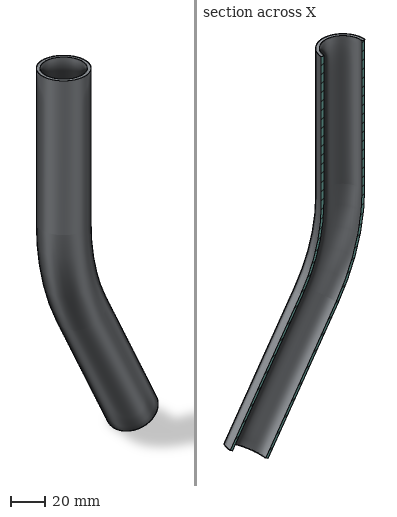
import cadquery as cq
import math

overall_height = 261.0
outer_diameter = 31.8
inner_diameter = 27.5
bend_radius = 127.0
bend_angle = 30.0

bend_sin = math.sin(math.radians(bend_angle))
bend_cos = math.cos(math.radians(bend_angle))
bend_drop = bend_radius * bend_sin
end_face_drop = outer_diameter / 2 * bend_sin
leg_length = (overall_height - bend_drop - end_face_drop) / (1 + bend_cos)


def point_on_bend(angle):
    """Centreline point (Y, Z) at an angle in degrees from the start of the bend."""
    turn = math.radians(angle)
    return (bend_radius * (1 - math.cos(turn)), -bend_radius * math.sin(turn))


bend_start = point_on_bend(0)
bend_middle = point_on_bend(bend_angle / 2)
bend_end = point_on_bend(bend_angle)
lower_end = (bend_end[0] + leg_length * bend_sin, bend_end[1] - leg_length * bend_cos)

centreline = (
    cq.Workplane("YZ")
    .moveTo(0, leg_length)
    .lineTo(*bend_start)
    .threePointArc(bend_middle, bend_end)
    .lineTo(*lower_end)
)

result = (
    cq.Workplane("XY", origin=(0, 0, leg_length))
    .circle(outer_diameter / 2)
    .circle(inner_diameter / 2)
    .sweep(centreline)
)